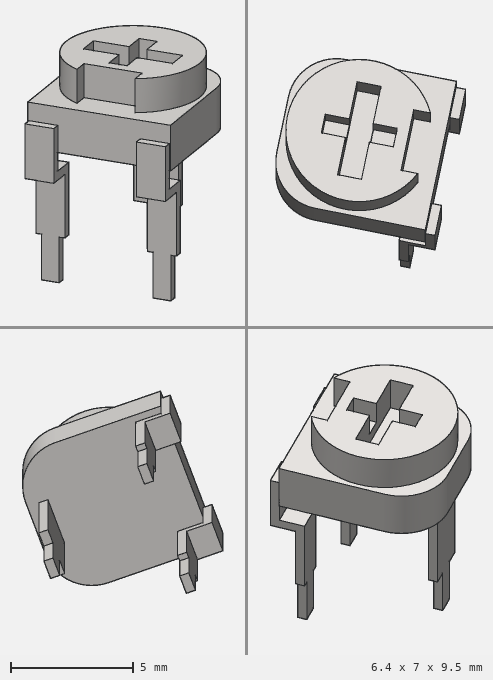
import cadquery as cq


housing_width = 6.4
housing_length = 6.6
housing_height = 2.0
housing_bottom = 6.0
housing_corner_radius = 2.0
housing_top = housing_bottom + housing_height
housing_back = housing_width / 2
housing_front = housing_back - housing_length

total_height = 9.5
rotor_radius = 3.0
rotor_height = total_height - housing_top
notch_width = 2.6
notch_distance = 2.0
long_slot_length = 4.0
long_slot_width = 1.0
long_slot_depth = rotor_height
cross_slot_length = 3.0
cross_slot_width = 0.8
cross_slot_depth = 1.0

sheet = 0.4
tip_width = 0.8
tip_height = 2.0
back_leg_width = 2.0
front_leg_width = 1.3
front_leg_spacing = 5.0
row_spacing = 5.0
front_plate_top = 7.2
bend_bottom = 4.8
bend_top = bend_bottom + sheet
front_plate_outer = housing_front - sheet
front_leg_outer = housing_front + 0.7
front_leg_inner = front_leg_outer + sheet
back_leg_outer = front_leg_outer + row_spacing


def box(width, y_range, z_range, x_center=0):
    """Block centred on x_center, spanning the given Y and Z ranges."""
    y_low, y_high = y_range
    z_low, z_high = z_range
    return (
        cq.Workplane("XY")
        .box(width, y_high - y_low, z_high - z_low, centered=(True, False, False))
        .translate((x_center, y_low, z_low))
    )


def make_housing():
    block = box(housing_width, (housing_front, housing_back), (housing_bottom, housing_top))
    return block.edges("|Z and >Y").fillet(housing_corner_radius)


def make_rotor():
    disc = cq.Workplane("XY").workplane(offset=housing_top).circle(rotor_radius).extrude(rotor_height)
    notch = box(notch_width, (-rotor_radius, -notch_distance), (housing_top, total_height))
    long_slot = box(
        long_slot_length,
        (-long_slot_width / 2, long_slot_width / 2),
        (total_height - long_slot_depth, total_height),
    )
    cross_slot = box(
        cross_slot_width,
        (-cross_slot_length / 2, cross_slot_length / 2),
        (total_height - cross_slot_depth, total_height),
    )
    return disc.cut(notch).cut(long_slot).cut(cross_slot)


def make_back_terminal():
    y_range = (back_leg_outer, back_leg_outer + sheet)
    leg = box(back_leg_width, y_range, (tip_height, housing_bottom))
    tip = box(tip_width, y_range, (0, tip_height))
    return leg.union(tip)


def make_front_terminal(x_center):
    """Leg bent forward into a shelf, then up against the housing front."""
    bent_strip = (
        cq.Workplane("YZ")
        .moveTo(front_leg_outer, tip_height)
        .lineTo(front_leg_outer, bend_bottom)
        .lineTo(front_plate_outer, bend_bottom)
        .lineTo(front_plate_outer, front_plate_top)
        .lineTo(housing_front, front_plate_top)
        .lineTo(housing_front, bend_top)
        .lineTo(front_leg_inner, bend_top)
        .lineTo(front_leg_inner, tip_height)
        .close()
        .extrude(front_leg_width / 2, both=True)
        .translate((x_center, 0, 0))
    )
    tip = box(tip_width, (front_leg_outer, front_leg_inner), (0, tip_height), x_center)
    return bent_strip.union(tip)


housing = make_housing()
rotor = make_rotor()
back_terminal = make_back_terminal()
front_terminals = [make_front_terminal(side * front_leg_spacing / 2) for side in (-1, 1)]

result = cq.Compound.makeCompound(
    [
        housing.val(),
        rotor.val(),
        back_terminal.val(),
        *[terminal.val() for terminal in front_terminals],
    ]
)